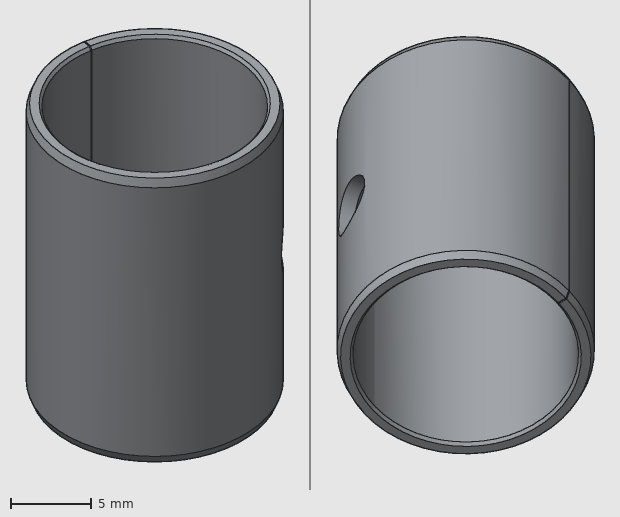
import cadquery as cq

length = 22.0
outer_diameter = 16.0
wall = 1.0
outer_chamfer_length = 0.6
outer_chamfer_depth = 0.22
inner_chamfer_length = 0.22
inner_chamfer_depth = 0.18
slit_width = 0.09
hole_diameter = 4.0
hole_angle = 60.0

outer_radius = outer_diameter / 2
bore_radius = outer_radius - wall
half_length = length / 2


def make_sleeve():
    """Revolve the wall section, chamfered at both ends inside and outside."""
    return (
        cq.Workplane("XZ")
        .moveTo(bore_radius, -half_length + inner_chamfer_length)
        .lineTo(bore_radius + inner_chamfer_depth, -half_length)
        .lineTo(outer_radius - outer_chamfer_depth, -half_length)
        .lineTo(outer_radius, -half_length + outer_chamfer_length)
        .lineTo(outer_radius, half_length - outer_chamfer_length)
        .lineTo(outer_radius - outer_chamfer_depth, half_length)
        .lineTo(bore_radius + inner_chamfer_depth, half_length)
        .lineTo(bore_radius, half_length - inner_chamfer_length)
        .close()
        .revolve(360, (0, 0, 0), (0, 1, 0))
    )


def make_slit():
    """Thin full-length cutter that opens the -X wall, with one face on the XZ plane."""
    cutter = cq.Workplane("XY").box(outer_diameter, slit_width, length)
    return cutter.translate((-outer_radius, slit_width / 2, 0))


def make_radial_hole():
    """Cutter from the axis outward, passing through one wall at mid-length."""
    return (
        cq.Workplane("YZ")
        .circle(hole_diameter / 2)
        .extrude(outer_diameter)
        .rotate((0, 0, 0), (0, 0, 1), hole_angle)
    )


result = make_sleeve().cut(make_slit()).cut(make_radial_hole())